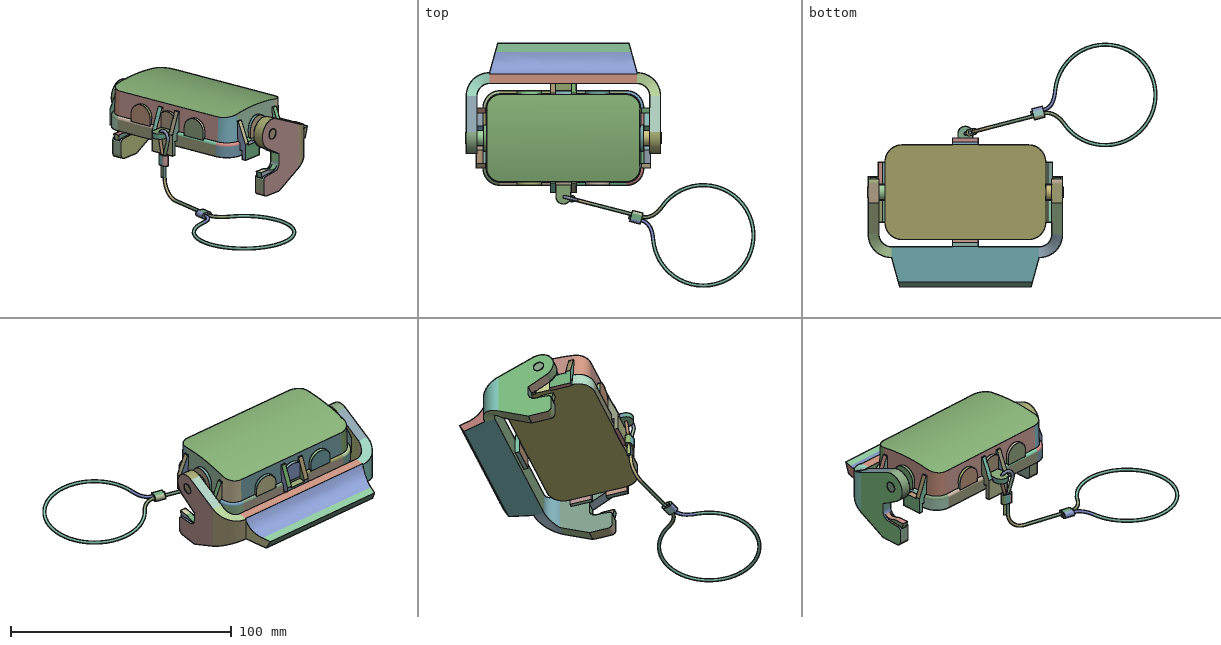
import cadquery as cq
import math


FLANGE_X = 36.5
FLANGE_Y = 21.5
FLANGE_CORNER = 7.9
FLANGE_TOP = 6.7
FLANGE_ROUND = 1.5
LEDGE = 1.2
WALL_X = FLANGE_X - LEDGE
WALL_Y = FLANGE_Y - LEDGE
WALL_CORNER = FLANGE_CORNER - LEDGE
WALL_DRAFT = 2.0
ROOT_DEPTH = 1.3
DOME_TOP = 20.6
DOME_RADIUS = 91.8

PAD_RADIUS = 5.5
PAD_INSET = 0.3
PAD_CENTRE_Z = 9.7
PAD_FOOT = FLANGE_TOP / 2
PAD_PITCH = 15.5
SIDE_PAD_RADIUS = 6.0

RIB_THICKNESS = 2.2
RIB_TOP = 16.3
RIB_KNEE = 6.0
PLATE_TOP = FLANGE_TOP - FLANGE_ROUND
PLATE_THICKNESS = 2.0
PLATE_GAP_TOP = 2.6
LONG_PLATE_REACH = 24.7
LONG_PLATE_BOTTOM = -3.9
LONG_PLATE_HALF = 5.9
END_PLATE_REACH = 39.5
END_PLATE_BOTTOM = -1.6
END_PLATE_HALF = 13.6
END_PLATE_OPENING = 3.5
END_PLATE_HOLLOW = 6.3

EYE_Y = -26.5
EYE_RADIUS = 3.4
EYE_BOTTOM = 4.6
EYE_TOP = 7.1

PIVOT_Z = 8.5
PIN_DIAMETER = 4.9
NECK_DIAMETER = 7.0
PIN_END_X = 44.3
ARM_OUTER_X = 44.0
ARM_THICKNESS = 5.0
ARM_INNER_X = ARM_OUTER_X - ARM_THICKNESS
LEVER_END_RADIUS = 7.1
BEND_INNER = 5.6
BEND_OUTER = BEND_INNER + ARM_THICKNESS
BEND_X = ARM_INNER_X - BEND_INNER
BEND_Y = 19.0
BEND_STEPS = 4
BEND_MARGIN = 0.7
BAR_INNER_Y = BEND_Y + BEND_INNER
BAR_OUTER_Y = BEND_Y + BEND_OUTER
BAR_BOTTOM = -7.1
BAR_TOP = 4.2
BAR_TOP_Y = 29.1
ARM_TOP_AT_BEND = 8.3
ARM_BOTTOM_AT_BEND = -12.9
FOOT_Z = -20.2
FOOT_HEEL_Y = 5.0
FOOT_ROUND = 2.1
HOOK_FACE_Y = -6.0
HOOK_TOP_Z = -10.6
HOOK_ROUND = 1.6
THROAT_Y = 5.0
THROAT_TOP = -2.4
THROAT_ARC_TOP = -6.5
THROAT_RADIUS = 3.5
RIDGE_WIDTH = 2.9
RIDGE_TOP = -8.5
RIDGE_DIP = -9.3
RIDGE_DIP_Y = 1.0
RIDGE_RISE_Y = -2.5
RIDGE_TIP_Y = -6.7
RIDGE_BOTTOM = -11.4
TAIL_END_Y = 43.0
TAIL_END_X = 29.8
TAIL_BOTTOM_Y = 40.7
TAIL_FLAT_Y = 38.8
TAIL_TOP = -2.2
TAIL_CURVE_END = (-0.4, 0.9)

CORD_DIAMETER = 1.5
CORD_RADIUS = CORD_DIAMETER / 2
STRAND_SPACING = 1.6
CORD_ANGLE = -14.5
CORD_BEND_RADIUS = 8.7
CORD_BEND_TOP = -14.0
CORD_Z = CORD_BEND_TOP - CORD_BEND_RADIUS
DROP_U = 2.9
FERRULE_LENGTH = 5.0
FERRULE_WIDTH = 5.2
FERRULE_THICKNESS = 2.9
EYE_FERRULE_TOP = -3.0
LOOP_FERRULE_U = 31.9
CORD_STUB = 0.8
STRAND_OVERLAP = 0.5
HOOK_U = 6.0
HOOK_Z = 4.2
LOOP_X = 63.3
LOOP_Y = -44.0
LOOP_OUTER_RADIUS = 23.5
LOOP_RADIUS = LOOP_OUTER_RADIUS - CORD_RADIUS
LOOP_START_ANGLE = 145.0
LOOP_END_ANGLE = -175.0


def box(x0, x1, y0, y1, z0, z1):
    return cq.Workplane("XY").box(x1 - x0, y1 - y0, z1 - z0, centered=False).translate((x0, y0, z0))


def x_cylinder(diameter, half_length):
    """Cylinder on the pivot axis, centred on X = 0."""
    return (
        cq.Workplane("YZ")
        .center(0, PIVOT_Z)
        .circle(diameter / 2)
        .extrude(half_length, both=True)
    )


def rounded_block(half_x, half_y, corner, height, draft=0):
    sketch = cq.Sketch().rect(2 * half_x, 2 * half_y).vertices().fillet(corner)
    return cq.Workplane("XY").placeSketch(sketch).extrude(height, taper=draft)


def cover_block():
    flange = rounded_block(FLANGE_X, FLANGE_Y, FLANGE_CORNER, FLANGE_TOP)
    flange = flange.faces(">Z").edges().fillet(FLANGE_ROUND)
    walls = rounded_block(WALL_X, WALL_Y, WALL_CORNER, DOME_TOP, WALL_DRAFT)
    edge_z = DOME_TOP - DOME_RADIUS + math.sqrt(DOME_RADIUS**2 - FLANGE_Y**2)
    dome = (
        cq.Workplane("YZ")
        .moveTo(-FLANGE_Y, 0)
        .lineTo(-FLANGE_Y, edge_z)
        .threePointArc((0, DOME_TOP), (FLANGE_Y, edge_z))
        .lineTo(FLANGE_Y, 0)
        .close()
        .extrude(FLANGE_X, both=True)
    )
    return flange.union(walls.intersect(dome))


def arched_pad(radius, reach, turn, shift=0):
    """Round-topped pad standing on the flange, its face `reach` from the centre; turn 0 faces -Y."""
    pad = (
        cq.Workplane("XZ")
        .moveTo(shift - radius, PAD_FOOT)
        .lineTo(shift - radius, PAD_CENTRE_Z)
        .threePointArc((shift, PAD_CENTRE_Z + radius), (shift + radius, PAD_CENTRE_Z))
        .lineTo(shift + radius, PAD_FOOT)
        .close()
        .extrude(LEDGE + ROOT_DEPTH)
        .translate((0, LEDGE + ROOT_DEPTH - reach, 0))
    )
    return pad.rotate((0, 0, 0), (0, 0, 1), turn)


def hanger(reach, wall, bottom, top_points, start, end):
    """Hanging section facing -Y, given as distance from the centre and height, from X start to end."""
    root = wall - ROOT_DEPTH
    points = [
        *top_points,
        (reach, bottom),
        (reach - PLATE_THICKNESS, bottom),
        (reach - PLATE_THICKNESS, PLATE_GAP_TOP),
        (root, PLATE_GAP_TOP),
    ]
    outline = [(-y, z) for y, z in points]
    return cq.Workplane("YZ").polyline(outline).close().extrude(end - start).translate((start, 0, 0))


def hanging_plate(reach, wall, bottom, half_width, turn):
    """Plate below the flange between two gusset ribs; turn 0 puts it on the -Y side."""
    root = wall - ROOT_DEPTH
    rib_top = [(root, RIB_TOP), (wall, RIB_TOP), (reach, RIB_KNEE)]
    plate_top = [(root, PLATE_TOP), (reach, PLATE_TOP)]
    plate = hanger(reach, wall, bottom, plate_top, -half_width, half_width)
    for start in (-half_width, half_width - RIB_THICKNESS):
        plate = plate.union(hanger(reach, wall, bottom, rib_top, start, start + RIB_THICKNESS))
    return plate.rotate((0, 0, 0), (0, 0, 1), turn)


def end_openings():
    """Round hollow and straight opening below each pivot, outside the end pads."""
    opening = box(-PIN_END_X, PIN_END_X, -END_PLATE_OPENING, END_PLATE_OPENING, END_PLATE_BOTTOM, PIVOT_Z)
    hollow = x_cylinder(2 * END_PLATE_HOLLOW, PIN_END_X)
    inboard = box(-FLANGE_X, FLANGE_X, -FLANGE_Y, FLANGE_Y, END_PLATE_BOTTOM, DOME_TOP)
    return opening.union(hollow).cut(inboard)


def cord_eye():
    """Flat tongue with a round end between the ribs of the -Y plate; the cord passes through it."""
    tongue = box(-EYE_RADIUS, EYE_RADIUS, EYE_Y, ROOT_DEPTH - WALL_Y, EYE_BOTTOM, EYE_TOP)
    end = cq.Workplane("XY", origin=(0, EYE_Y, EYE_BOTTOM)).circle(EYE_RADIUS)
    return tongue.union(end.extrude(EYE_TOP - EYE_BOTTOM))


CORD_PLANE = cq.Plane(
    origin=(0, EYE_Y, 0),
    xDir=(math.cos(math.radians(CORD_ANGLE)), math.sin(math.radians(CORD_ANGLE)), 0),
    normal=(math.sin(math.radians(CORD_ANGLE)), -math.cos(math.radians(CORD_ANGLE)), 0),
)


def cord_along(path):
    """Round cord swept along a path that has no kinks."""
    edge = path.val()
    start = cq.Plane(origin=edge.startPoint(), normal=edge.tangentAt(0))
    return cq.Workplane(start).circle(CORD_RADIUS).sweep(path)


def in_cord_plane(u, z):
    return cq.Workplane(CORD_PLANE).moveTo(u, z)


def hanging_cord():
    """Strands through the eye and down, then the bend and the straight run to the loop."""
    short_u = DROP_U - STRAND_SPACING / 2
    long_u = DROP_U + STRAND_SPACING / 2
    eye_mid = (EYE_BOTTOM + EYE_TOP) / 2
    inside_ferrule = EYE_FERRULE_TOP - STRAND_OVERLAP
    bend_mid = CORD_BEND_RADIUS * math.sqrt(0.5)
    bend_u = long_u + CORD_BEND_RADIUS
    paths = [
        in_cord_plane(short_u, CORD_BEND_TOP).lineTo(short_u, inside_ferrule),
        in_cord_plane(short_u, inside_ferrule).lineTo(0, EYE_BOTTOM + STRAND_OVERLAP),
        in_cord_plane(long_u, inside_ferrule)
        .lineTo(HOOK_U, HOOK_Z)
        .tangentArcPoint((0, eye_mid), relative=False)
        .wire(),
        in_cord_plane(long_u, inside_ferrule)
        .lineTo(long_u, CORD_BEND_TOP)
        .threePointArc((bend_u - bend_mid, CORD_BEND_TOP - bend_mid), (bend_u, CORD_Z))
        .lineTo(LOOP_FERRULE_U + STRAND_OVERLAP, CORD_Z)
        .wire(),
    ]
    return [cord_along(path) for path in paths]


def loop_point(angle):
    turn = math.radians(angle)
    return cq.Vector(LOOP_X + LOOP_RADIUS * math.cos(turn), LOOP_Y + LOOP_RADIUS * math.sin(turn), CORD_Z)


def loop_tangent(angle):
    """Direction of travel when going round the loop clockwise."""
    turn = math.radians(angle)
    return cq.Vector(math.sin(turn), -math.cos(turn), 0)


def cord_loop():
    """Large loop whose two strands lie side by side in the loop ferrule."""
    along = CORD_PLANE.xDir
    side = CORD_PLANE.zDir
    upper_exit = CORD_PLANE.toWorldCoords((LOOP_FERRULE_U + FERRULE_LENGTH, CORD_Z))
    lower_exit = upper_exit + side * STRAND_SPACING
    stub_end = lower_exit - along * (FERRULE_LENGTH + CORD_STUB)
    opposite = (LOOP_START_ANGLE + LOOP_END_ANGLE) / 2
    edges = [
        cq.Edge.makeLine(upper_exit - along * STRAND_OVERLAP, upper_exit),
        cq.Edge.makeSpline(
            [upper_exit, loop_point(LOOP_START_ANGLE)], [along, loop_tangent(LOOP_START_ANGLE)]
        ),
        cq.Edge.makeThreePointArc(
            loop_point(LOOP_START_ANGLE), loop_point(opposite), loop_point(LOOP_END_ANGLE)
        ),
        cq.Edge.makeSpline(
            [loop_point(LOOP_END_ANGLE), lower_exit], [loop_tangent(LOOP_END_ANGLE), along * -1]
        ),
        cq.Edge.makeLine(lower_exit, stub_end),
    ]
    return cord_along(cq.Workplane(cq.Wire.assembleEdges(edges)))


def ferrule(plane):
    return cq.Workplane(plane).slot2D(FERRULE_WIDTH, FERRULE_THICKNESS).extrude(FERRULE_LENGTH)


def ferrules():
    along = CORD_PLANE.xDir
    side = CORD_PLANE.zDir
    eye_origin = CORD_PLANE.toWorldCoords((DROP_U, EYE_FERRULE_TOP))
    loop_origin = CORD_PLANE.toWorldCoords((LOOP_FERRULE_U, CORD_Z)) + side * (STRAND_SPACING / 2)
    return [
        ferrule(cq.Plane(origin=eye_origin, xDir=along, normal=(0, 0, -1))),
        ferrule(cq.Plane(origin=loop_origin, xDir=side, normal=along)),
    ]


def tangent_point(y, z, side):
    """Where a line from (y, z) touches the round lever end; side is +1 for above, -1 for below."""
    distance = math.hypot(y, z - PIVOT_Z)
    angle = math.atan2(z - PIVOT_Z, y) + side * math.acos(LEVER_END_RADIUS / distance)
    return LEVER_END_RADIUS * math.cos(angle), PIVOT_Z + LEVER_END_RADIUS * math.sin(angle)


def arm():
    """Side arm with its round end, throat and hook, on the +X side."""
    throat_mid = THROAT_RADIUS * (1 - math.sqrt(0.5))
    throat_floor = THROAT_ARC_TOP - THROAT_RADIUS
    plate = (
        cq.Workplane("YZ")
        .moveTo(BEND_Y, ARM_TOP_AT_BEND)
        .lineTo(*tangent_point(BEND_Y, ARM_TOP_AT_BEND, 1))
        .threePointArc((-LEVER_END_RADIUS, PIVOT_Z), tangent_point(THROAT_Y, THROAT_TOP, -1))
        .lineTo(THROAT_Y, THROAT_TOP)
        .lineTo(THROAT_Y, THROAT_ARC_TOP)
        .threePointArc(
            (THROAT_Y - throat_mid, throat_floor + throat_mid), (THROAT_Y - THROAT_RADIUS, throat_floor)
        )
        .lineTo(HOOK_FACE_Y + HOOK_ROUND, HOOK_TOP_Z)
        .radiusArc((HOOK_FACE_Y, HOOK_TOP_Z - HOOK_ROUND), -HOOK_ROUND)
        .lineTo(HOOK_FACE_Y, FOOT_Z + FOOT_ROUND)
        .radiusArc((HOOK_FACE_Y + FOOT_ROUND, FOOT_Z), -FOOT_ROUND)
        .lineTo(FOOT_HEEL_Y, FOOT_Z)
        .lineTo(BEND_Y, ARM_BOTTOM_AT_BEND)
        .close()
        .extrude(ARM_THICKNESS)
        .translate((ARM_INNER_X, 0, 0))
    )
    return plate.union(hook_ridge())


def hook_ridge():
    """Narrow raised ridge along the middle of the throat and the hook."""
    ridge_start = ARM_INNER_X + (ARM_THICKNESS - RIDGE_WIDTH) / 2
    return (
        cq.Workplane("YZ")
        .moveTo(THROAT_Y, THROAT_ARC_TOP)
        .spline(
            [(RIDGE_DIP_Y, RIDGE_DIP), (RIDGE_RISE_Y, RIDGE_TOP)],
            tangents=[(0, -1), (-1, 0)],
            includeCurrent=True,
        )
        .lineTo(RIDGE_TIP_Y, RIDGE_TOP)
        .lineTo(HOOK_FACE_Y, RIDGE_BOTTOM)
        .lineTo(THROAT_Y, RIDGE_BOTTOM)
        .close()
        .extrude(RIDGE_WIDTH)
        .translate((ridge_start, 0, 0))
    )


def bend():
    """Quarter-ring corner between arm and bar, its height changing evenly along Y."""
    sections = []
    near = BEND_INNER - BEND_MARGIN
    far = BEND_OUTER + BEND_MARGIN
    for step in range(BEND_STEPS + 1):
        angle = math.radians(90 * step / BEND_STEPS)
        rise = math.sin(angle)
        bottom = ARM_BOTTOM_AT_BEND + rise * (BAR_BOTTOM - ARM_BOTTOM_AT_BEND)
        top = ARM_TOP_AT_BEND + rise * (BAR_TOP - ARM_TOP_AT_BEND)
        corners = [
            cq.Vector(BEND_X + r * math.cos(angle), BEND_Y + r * rise, z)
            for r, z in ((near, bottom), (far, bottom), (far, top), (near, top))
        ]
        sections.append(cq.Wire.makePolygon(corners, close=True))
    wedge = cq.Workplane(cq.Solid.makeLoft(sections))
    ring = (
        cq.Workplane("XY", origin=(BEND_X, BEND_Y, FOOT_Z))
        .circle(BEND_OUTER)
        .circle(BEND_INNER)
        .extrude(DOME_TOP - FOOT_Z)
    )
    return ring.intersect(wedge)


def bar_and_tail():
    """Straight cross bar and the tapered finger tail behind it."""
    section = (
        cq.Workplane("YZ")
        .moveTo(BAR_INNER_Y, BAR_BOTTOM)
        .lineTo(TAIL_BOTTOM_Y, BAR_BOTTOM)
        .lineTo(TAIL_END_Y, TAIL_TOP)
        .lineTo(TAIL_FLAT_Y, TAIL_TOP)
        .spline([(BAR_TOP_Y, BAR_TOP)], tangents=[(-1, 0), TAIL_CURVE_END], includeCurrent=True)
        .lineTo(BAR_INNER_Y, BAR_TOP)
        .close()
        .extrude(2 * BEND_X)
        .translate((-BEND_X, 0, 0))
    )
    plan = (
        cq.Workplane("XY", origin=(0, 0, FOOT_Z))
        .polyline(
            [
                (-BEND_X, BAR_INNER_Y),
                (BEND_X, BAR_INNER_Y),
                (BEND_X, BAR_OUTER_Y),
                (TAIL_END_X, TAIL_END_Y),
                (-TAIL_END_X, TAIL_END_Y),
                (-BEND_X, BAR_OUTER_Y),
            ]
        )
        .close()
        .extrude(DOME_TOP - FOOT_Z)
    )
    return section.intersect(plan)


def make_lever():
    side = arm().union(bend())
    lever = bar_and_tail().union(side).union(side.mirror("YZ"))
    return lever.cut(x_cylinder(PIN_DIAMETER, PIN_END_X))


def make_cover(lever):
    """Cover, pivot pins and cord in one solid; the end plates stop at the lever arms."""
    end_plates = hanging_plate(END_PLATE_REACH, WALL_X, END_PLATE_BOTTOM, END_PLATE_HALF, 90)
    end_plates = end_plates.union(end_plates.mirror("YZ")).cut(end_openings())
    cover = cover_block().union(end_plates.cut(lever))
    for turn in (0, 180):
        cover = cover.union(
            hanging_plate(LONG_PLATE_REACH, WALL_Y, LONG_PLATE_BOTTOM, LONG_PLATE_HALF, turn)
        )
        for shift in (-PAD_PITCH, 0, PAD_PITCH):
            cover = cover.union(arched_pad(PAD_RADIUS, FLANGE_Y - PAD_INSET, turn, shift))
        cover = cover.union(arched_pad(SIDE_PAD_RADIUS, FLANGE_X - PAD_INSET, turn + 90))
    cover = cover.union(x_cylinder(NECK_DIAMETER, ARM_INNER_X)).union(x_cylinder(PIN_DIAMETER, PIN_END_X))
    cover = cover.union(cord_eye())
    for piece in [*ferrules(), *hanging_cord(), cord_loop()]:
        cover = cover.union(piece)
    return cover


lever = make_lever()
cover = make_cover(lever)
result = cq.Compound.makeCompound([*cover.vals(), *lever.vals()])